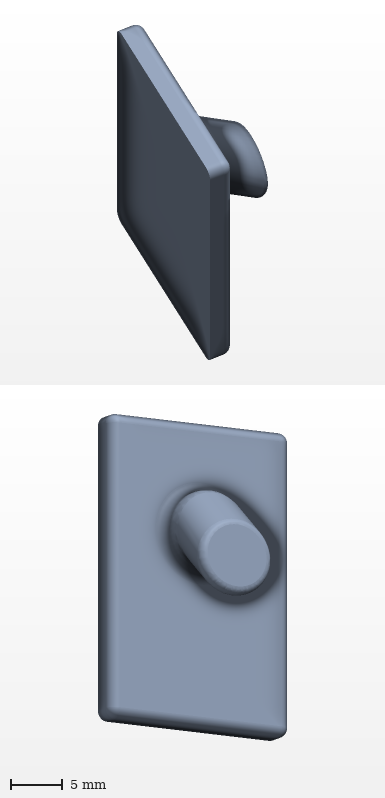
import cadquery as cq
import math

plate_width = 20.0
plate_height = 30.0
plate_thickness = 2.5
plate_round = 1.0

knob_diameter = 8.0
knob_height = 4.0
overall_depth = 9.5
neck_length = 2.0
stem_drop = 4.0
root_fillet = 1.0
bend_radius = 1.8
bend_steps = 4
tip_fillet = 0.75

knob_radius = knob_diameter / 2
bend_y = plate_thickness + neck_length
tip_height = knob_height - stem_drop
stem_angle = math.atan2(stem_drop, overall_depth - bend_y)
bend_start_y = bend_y - bend_radius * math.tan(stem_angle / 2)
bend_end_y = bend_start_y + bend_radius * math.sin(stem_angle)
bend_end_z = knob_height - bend_radius * (1 - math.cos(stem_angle))
edge_tolerance = 0.03


def knob_section(y, z):
    """Circular knob outline parallel to the plate, centred at height z."""
    return cq.Wire.makeCircle(knob_radius, cq.Vector(0, y, z), cq.Vector(0, 1, 0))


def edges_at(y):
    """Selector for the edges lying in the plane at the given depth."""
    return cq.selectors.BoxSelector(
        (-plate_width, y - edge_tolerance, -plate_height),
        (plate_width, y + edge_tolerance, plate_height),
        boundingbox=True,
    )


def make_plate():
    plate = cq.Workplane("XY").box(
        plate_width, plate_thickness, plate_height, centered=(True, False, True)
    )
    plate = plate.edges("|Y").fillet(plate_round)
    return plate.faces(">Y").edges().fillet(plate_round)


def make_bend():
    """Smooth bend whose centre line is an arc tangent to the neck and the stem."""
    sections = []
    for step in range(bend_steps + 1):
        turn = stem_angle * step / bend_steps
        y = bend_start_y + bend_radius * math.sin(turn)
        z = knob_height - bend_radius * (1 - math.cos(turn))
        sections.append(knob_section(y, z))
    return cq.Workplane(cq.Solid.makeLoft(sections))


def make_knob():
    root = knob_section(0, knob_height)
    bend_start = knob_section(bend_start_y, knob_height)
    bend_end = knob_section(bend_end_y, bend_end_z)
    tip = knob_section(overall_depth, tip_height)
    neck = cq.Workplane(cq.Solid.makeLoft([root, bend_start], True))
    stem = cq.Workplane(cq.Solid.makeLoft([bend_end, tip], True))
    stem = stem.faces(">Y").edges().fillet(tip_fillet)
    return neck.union(make_bend()).union(stem)


part = make_plate().union(make_knob())
root_edge = cq.selectors.RadiusNthSelector(-1)
result = part.edges(edges_at(plate_thickness)).edges("%CIRCLE").edges(root_edge).fillet(root_fillet)